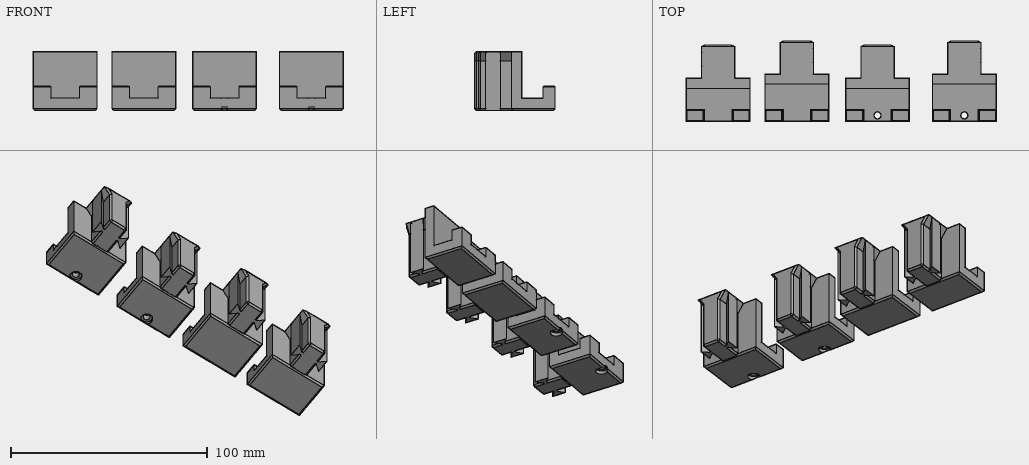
import cadquery as cq

WIDTH = 32.5
HEIGHT = 30.0
EDGE_CHAMFER = 1.0

FLOOR_HEIGHT = 6.3
WALL_THICKNESS = 5.2
SHORT_SEAT = 16.9
LONG_SEAT = 18.9

TAB_WIDTH = 9.0
TAB_DEPTH = 6.1
TAB_HEIGHT = 12.5
TAB_CHAMFER = 0.5
ROOT_CHAMFER = 0.3

TONGUE_WIDTH = 17.0
TONGUE_LENGTH = 16.9
RECESS_DEPTH = 3.3
FLARE_HEIGHT = 4.7
HALF_TONGUE = TONGUE_WIDTH / 2
HALF_CORE = HALF_TONGUE - RECESS_DEPTH

BAR_OFFSET = 5.7
BAR_LENGTH = 7.5
BAR_UNDERCUT = 2.8

HOLE_DIAMETER = 3.5
COUNTERBORE_DIAMETER = 6.0
COUNTERBORE_DEPTH = 1.9
HOLE_Y = TAB_DEPTH / 2

BRACKETS = [
    (0, SHORT_SEAT, False),
    (40.0, LONG_SEAT, False),
    (81.0, SHORT_SEAT, True),
    (125.0, LONG_SEAT, True),
]


def block(x_size, y_size, z_size, x=0, y=0):
    """Box standing on Z = 0, centred on x and running back from y."""
    return cq.Workplane("XY").box(x_size, y_size, z_size, centered=(True, False, False)).translate((x, y, 0))


def make_base(seat_depth):
    """Floor plate with the upright wall at its back and a chamfered bottom edge."""
    floor = block(WIDTH, seat_depth + WALL_THICKNESS, FLOOR_HEIGHT)
    wall = block(WIDTH, WALL_THICKNESS, HEIGHT, y=seat_depth)
    return floor.union(wall).faces("<Z").chamfer(EDGE_CHAMFER)


def make_right_tab():
    """Front tab at +X with a chamfered top and a small sloped root on its inner side."""
    tab_rise = TAB_HEIGHT - FLOOR_HEIGHT
    tab = block(TAB_WIDTH, TAB_DEPTH, tab_rise, x=(WIDTH - TAB_WIDTH) / 2)
    tab = tab.faces(">Z").chamfer(TAB_CHAMFER)
    inner_x = WIDTH / 2 - TAB_WIDTH
    root = (
        cq.Workplane("XZ")
        .polyline([(inner_x, 0), (inner_x, ROOT_CHAMFER), (inner_x - ROOT_CHAMFER, 0)])
        .close()
        .extrude(-TAB_DEPTH)
    )
    return tab.union(root).translate((0, 0, FLOOR_HEIGHT))


def make_core():
    """Tongue core that flares out to the full tongue width at the top."""
    flare_start = HEIGHT - FLARE_HEIGHT
    section = [
        (-HALF_CORE, 0),
        (HALF_CORE, 0),
        (HALF_CORE, flare_start),
        (HALF_TONGUE, HEIGHT),
        (-HALF_TONGUE, HEIGHT),
        (-HALF_CORE, flare_start),
    ]
    core = cq.Workplane("XZ").polyline(section).close().extrude(-TONGUE_LENGTH)
    core = core.faces("<Z").edges("|Y").chamfer(EDGE_CHAMFER)
    return core.faces(">Y").chamfer(EDGE_CHAMFER)


def make_dovetail():
    """Full-height bars on both sides of the core, each narrower at its root."""
    front = BAR_OFFSET
    back = BAR_OFFSET + BAR_LENGTH
    root_front = front + BAR_UNDERCUT
    root_back = back - BAR_UNDERCUT
    outline = [
        (HALF_TONGUE, front),
        (HALF_TONGUE, back),
        (HALF_CORE, root_back),
        (-HALF_CORE, root_back),
        (-HALF_TONGUE, back),
        (-HALF_TONGUE, front),
        (-HALF_CORE, root_front),
        (HALF_CORE, root_front),
    ]
    return cq.Workplane("XY").polyline(outline).close().extrude(HEIGHT)


def make_hole():
    """Cutter for the floor hole, counterbored from below."""
    hole = cq.Workplane("XY").center(0, HOLE_Y).circle(HOLE_DIAMETER / 2).extrude(FLOOR_HEIGHT)
    counterbore = (
        cq.Workplane("XY").center(0, HOLE_Y).circle(COUNTERBORE_DIAMETER / 2).extrude(COUNTERBORE_DEPTH)
    )
    return hole.union(counterbore)


def make_bracket(seat_depth, has_hole):
    """Complete bracket, centred on X = 0 with its front face at Y = 0."""
    right_tab = make_right_tab()
    tongue = make_core().union(make_dovetail())
    bracket = (
        make_base(seat_depth)
        .union(right_tab)
        .union(right_tab.mirror("YZ"))
        .union(tongue.translate((0, seat_depth + WALL_THICKNESS, 0)))
    )
    if has_hole:
        bracket = bracket.cut(make_hole())
    return bracket


brackets = []
for centre_x, seat_depth, has_hole in BRACKETS:
    bracket = make_bracket(seat_depth, has_hole).translate((centre_x, 0, 0))
    brackets.append(bracket.val())

result = cq.Compound.makeCompound(brackets)